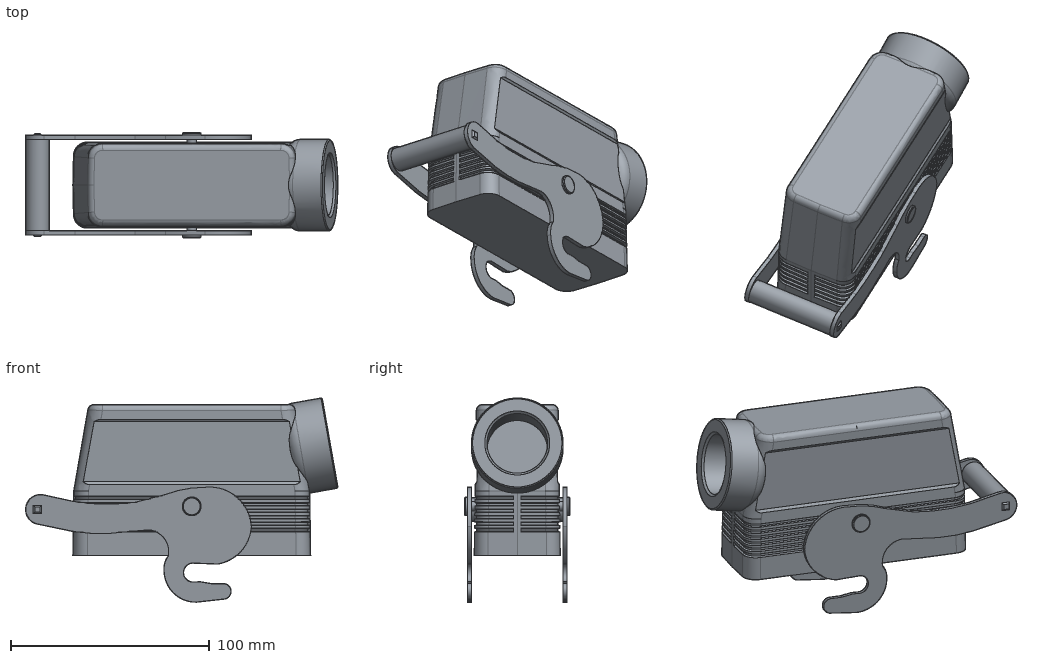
import cadquery as cq
import math


base_half_x = 60.0
base_half_y = 21.7
shoulder_z = 32.7
shoulder_half_x = 59.5
hood_height = 76.1
top_half_x = 51.9
top_half_y = 20.6
shoulder_half_y = base_half_y - (base_half_y - top_half_y) * shoulder_z / hood_height
corner_radius = 7.1
top_edge_radius = 3.1
end_bulge = 0.5

groove_count = 6
first_groove_z = 11.8
last_groove_z = 28.0
groove_pitch = (last_groove_z - first_groove_z) / (groove_count - 1)
groove_height = 2.2
groove_depth = 0.8
groove_overcut = 0.6
groove_taper = 0.55
web_half_width = 1.9

panel_bottom_z = 37.3
panel_top_z = 67.5
panel_bottom_half_y = 20.3
panel_top_half_y = 20.0
panel_wall_slope = 1.6

entry_tilt = 10
entry_right_x = 73.6
entry_face_z = 56.8
entry_radius = 23.1
entry_length = 21.4
entry_back_radius = 6.3
entry_rim_chamfer = 0.6
entry_face_x = entry_right_x - (entry_radius - entry_rim_chamfer) * math.sin(math.radians(entry_tilt))
bore_radius = 15.3
bore_chamfer = 1.1

lever_inner_y = 23.0
lever_thickness = 2.2
lever_outer_y = lever_inner_y + lever_thickness
arm_end_x = -76.1
arm_end_z = 23.3
arm_end_radius = 7.5
arm_slope = 13

rod_radius = 6.0
rod_x = arm_end_x - arm_end_radius + rod_radius
stud_base = 4.2
stud_tip = 2.7
stud_height = 0.8

pivot_z = 24.9
pivot_pin_diameter = 4.9
pivot_head_radius = 4.7
pivot_head_height = 1.34
pivot_head_chamfer = 0.5


def loft(sections):
    """Solid with straight walls between closed outlines."""
    return cq.Workplane(cq.Solid.makeLoft(sections, True))


def half_outline(z, half_x, half_y):
    """Sharp-cornered outline of the +Y half of the hood at height z."""
    corner_x = half_x - end_bulge
    return (
        cq.Workplane("XY", origin=(0, 0, z))
        .polyline([(half_x, 0), (corner_x, half_y), (-corner_x, half_y), (-half_x, 0)])
        .close()
        .wire()
        .val()
    )


def rounded_half_outline(z, half_x, half_y, radius):
    """The same outline with its two outer corners rounded."""
    outline = half_outline(z, half_x, half_y)
    corners = [vertex for vertex in outline.Vertices() if vertex.Y > half_y / 2]
    return outline.fillet2D(radius, corners)


def make_half_block(bottom, top):
    """Block between two half outlines with its two upright corners rounded."""
    block = loft([bottom, top])
    side_edges = block.faces(">Y").edges()
    uprights = side_edges.filter(lambda edge: edge.BoundingBox().zlen > corner_radius)
    return uprights.fillet(corner_radius)


def make_half_hood():
    """Nearly upright base with a leaning upper part and a rounded top rim."""
    base = half_outline(0, base_half_x, base_half_y)
    shoulder = half_outline(shoulder_z, shoulder_half_x, shoulder_half_y)
    top = half_outline(hood_height, top_half_x, top_half_y)
    upper = make_half_block(shoulder, top)
    top_rim = upper.faces(">Z").edges().filter(lambda edge: edge.Center().y > end_bulge)
    return make_half_block(base, shoulder).union(top_rim.fillet(top_edge_radius))


def make_groove(z):
    """Half ring with sloping walls that stops short of the plain strip at each end."""

    def core(level, inset):
        return rounded_half_outline(
            level, shoulder_half_x - inset, shoulder_half_y - inset, corner_radius - inset
        )

    top = z + groove_height
    uncut_core = loft([
        core(z, -groove_overcut),
        core(z + groove_taper, groove_depth),
        core(top - groove_taper, groove_depth),
        core(top, -groove_overcut),
    ])
    level_plane = cq.Workplane("XY", origin=(0, 0, z))
    slab = level_plane.rect(3 * base_half_x, 3 * base_half_y).extrude(groove_height)
    end_strips = level_plane.rect(3 * base_half_x, 2 * web_half_width).extrude(groove_height)
    return slab.cut(uncut_core).cut(end_strips)


def make_panel_cut():
    """Slab with sloping walls that leaves a flat recessed side."""
    cutter_half_y = base_half_y + 1.5
    upper_z = panel_top_z + (cutter_half_y - panel_top_half_y) * panel_wall_slope
    lower_z = panel_bottom_z - (cutter_half_y - panel_bottom_half_y) * panel_wall_slope
    profile = [
        (panel_bottom_half_y, panel_bottom_z),
        (panel_top_half_y, panel_top_z),
        (cutter_half_y, upper_z),
        (cutter_half_y, lower_z),
    ]
    return cq.Workplane("YZ").polyline(profile).close().extrude(base_half_x, both=True)


def entry_plane():
    """Plane of the entry's open face, pointing out of the hood."""
    tilt = math.radians(entry_tilt)
    return cq.Plane(
        origin=(entry_face_x, 0, entry_face_z),
        xDir=(0, 1, 0),
        normal=(math.cos(tilt), 0, math.sin(tilt)),
    )


def make_entry():
    """Tilted cylinder with a rounded back edge and a chamfered rim."""
    plane = entry_plane()
    back = cq.selectors.DirectionMinMaxSelector(plane.zDir, False)
    rim = cq.selectors.DirectionMinMaxSelector(plane.zDir, True)
    entry = cq.Workplane(plane).circle(entry_radius).extrude(-entry_length)
    entry = entry.faces(back).edges().fillet(entry_back_radius)
    return entry.faces(rim).edges().chamfer(entry_rim_chamfer)


def make_bore():
    """Blind cable bore with a chamfered mouth."""
    bore = cq.Workplane(entry_plane()).circle(bore_radius).extrude(-entry_length)
    mouth = (
        cq.Workplane(entry_plane())
        .circle(bore_radius + bore_chamfer)
        .workplane(offset=-bore_chamfer)
        .circle(bore_radius)
        .loft()
    )
    return bore.union(mouth)


def make_lever(start_y):
    """Side plate: arm on the left, disc around the pivot, hook below."""
    slope = math.radians(arm_slope)
    offset_x = arm_end_radius * math.sin(slope)
    offset_z = arm_end_radius * math.cos(slope)
    arm_top = (arm_end_x + offset_x, arm_end_z + offset_z)
    arm_tip = (arm_end_x - arm_end_radius, arm_end_z)
    arm_bottom = (arm_end_x - offset_x, arm_end_z - offset_z)
    plate = (
        cq.Workplane("XZ", origin=(0, start_y + lever_thickness, 0))
        .moveTo(*arm_top)
        .lineTo(-58.7, 27.2)
        .threePointArc((-43.5, 26.0), (-28.5, 26.9))
        .lineTo(-13.2, 30.8)
        .threePointArc((-3.8, 33.5), (6.6, 34.5))
        .threePointArc((25.2, 27.0), (30.0, 14.6))
        .threePointArc((24.5, 1.9), (13.2, -4.2))
        .lineTo(0.6, -3.8)
        .threePointArc((-4.1, -8.5), (0.6, -13.2))
        .lineTo(4.2, -13.0)
        .lineTo(9.9, -14.0)
        .lineTo(16.2, -14.0)
        .threePointArc((19.8, -17.8), (16.5, -21.9))
        .lineTo(2.4, -23.5)
        .threePointArc((-9.8, -18.2), (-14.0, -8.0))
        .threePointArc((-13.4, -2.8), (-11.8, 0))
        .threePointArc((-13.7, 8.5), (-21.9, 13.0))
        .lineTo(-32.3, 12.1)
        .threePointArc((-43.5, 11.2), (-60.3, 12.3))
        .lineTo(*arm_bottom)
        .threePointArc(arm_tip, arm_top)
        .close()
    )
    return plate.extrude(lever_thickness)


def make_rod():
    """Handle joining the ends of both lever arms."""
    return (
        cq.Workplane("XZ", origin=(rod_x, 0, arm_end_z))
        .circle(rod_radius)
        .extrude(lever_inner_y, both=True)
    )


def outward_plane(side, x, y, z):
    """Plane facing away from the middle on the +Y (1) or -Y (-1) side."""
    return cq.Plane(origin=(x, side * y, z), xDir=(1, 0, 0), normal=(0, side, 0))


def make_stud(side):
    """Square tapered rod end standing proud of the lever."""
    return (
        cq.Workplane(outward_plane(side, rod_x, lever_outer_y, arm_end_z))
        .rect(stud_base, stud_base)
        .workplane(offset=stud_height)
        .rect(stud_tip, stud_tip)
        .loft()
    )


def make_rivet(side):
    """Chamfered head outside the lever with a pin running into the hood."""
    head = (
        cq.Workplane(outward_plane(side, 0, lever_outer_y, pivot_z))
        .circle(pivot_head_radius)
        .extrude(pivot_head_height)
        .faces(">Y" if side > 0 else "<Y")
        .edges()
        .chamfer(pivot_head_chamfer)
    )
    pin_start_y = shoulder_half_y - 2 * groove_depth
    pin = (
        cq.Workplane(outward_plane(side, 0, pin_start_y, pivot_z))
        .circle(pivot_pin_diameter / 2)
        .extrude(lever_outer_y - pin_start_y)
    )
    return head.union(pin)


half_hood = make_half_hood().cut(make_panel_cut())
for index in range(groove_count):
    half_hood = half_hood.cut(make_groove(first_groove_z + index * groove_pitch))
hood = half_hood.union(half_hood.mirror("XZ"))
hood = hood.union(make_entry()).cut(make_bore())

result = hood.union(make_rod())
for plate_start in (lever_inner_y, -lever_outer_y):
    result = result.union(make_lever(plate_start))
for side in (1, -1):
    result = result.union(make_stud(side)).union(make_rivet(side))